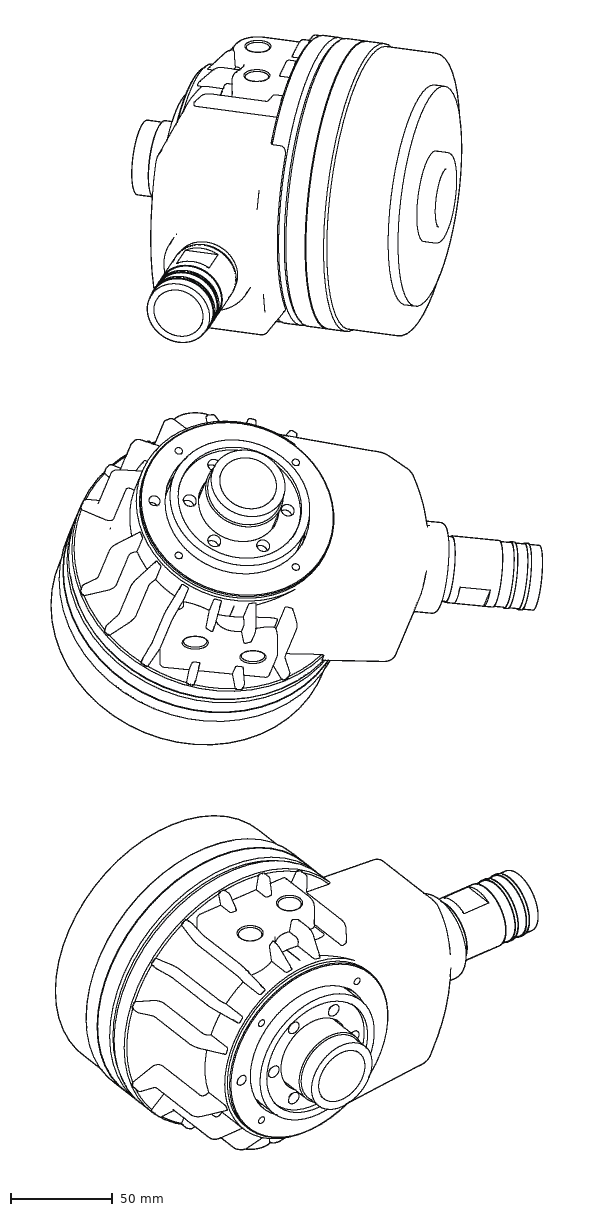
import cadquery as cq
import math


shaft_step_x = 9.0
hub_front_x = 20.2
pad_face_x = 26.6
body_front_x = 29.0
body_step_x = 45.2
flange_front_x = 82.2
flange_back_x = 91.3
ring_front_x = 93.9
drum_front_x = 105.0
drum_step_x = 115.7
drum_back_x = 142.5
collar_front_x = 147.5
shaft_end_x = 155.0

flange_diameter = 143.0
flange_radius = flange_diameter / 2
drum_radius = 70.2
end_disc_radius = 54.6
spigot_radius = 54.2
body_radius = 54.2
body_front_radius = 50.3
pad_face_radius = 48.7
hub_radius = 35.0
hub_clearance = 1.1
hub_bore_clearance = 0.7
hub_pocket_radius = 31.0
shaft_radius = 19.5
shaft_nose_radius = 18.5
shaft_bore_radius = 14.2
collar_radius = 22.5

body_step_fillet = 2.3
flange_root_fillet = 4.0
flange_front_chamfer = 1.0
ring_front_chamfer = 1.1
joint_chamfer = 0.2
drum_end_fillet = 1.8
collar_fillet = 1.4
pad_face_chamfer = 0.5
nose_chamfer = 0.5

hub_back_x = 36.7
hub_pocket_depth = 2.8
hub_hole_count = 6
hub_hole_circle = 24.5
hub_hole_radius = 3.2
hub_hole_depth = 5.7
face_hole_circle = 41.5
face_hole_radius = 1.8
face_hole_angles = [45, 135, 225, 315]
pin_hole_radius = 2.8
pin_hole_angle = 0
face_hole_depth = 6.9
drill_point_angle = 118

neck_end_radius = 99.8
neck_face_radius = 84.7
neck_bevel_end_x = 43.1
neck_back_x = 90.7
neck_taper = 5
neck_front_fillet = 7.0
neck_bevel_fillet = 8.7
neck_end_fillet = 6.7
neck_back_fillet = 3.2

fitting_x = 65.9
boss_radius = 22.5
boss_end = 110.2
boss_fillet = 2.5
boss_root_fillet = 1.8
boss_root_depth = 3.5
overall_length = 229.5
fitting_end = overall_length - flange_radius
fitting_radius = 16.5
fitting_neck_radius = 16.0
fitting_neck_end = 114.0
fitting_bore_radius = 12.6
flat_start = 118.2
flat_end = 133.3
flat_height = 14.2
barb_start = 138.0
barb_root_radius = 16.0
barb_starts = [143.7, 150.5]
barb_width = 1.8

mount_top = 61.7
mount_half_width = 27.5
mount_lobe_radius = 12.2
mount_lobe_y = mount_half_width - mount_lobe_radius
mount_lobes = [(54.6, mount_lobe_y), (63.3, -mount_lobe_y)]
mount_waist_radius = 13.8
mount_edge_fillet = 2.3
mount_mouth_radius = 6.5
mount_hole_radius = 5.7
mount_hole_depth = 11.5

rib_angles = [20, 40, 60, 80, 100, 120]
rib_mid_radius = 64.0
low_rib_angles = [80, 100]
low_rib_mid_radius = 61.0
rib_end_radius = 71.1
rib_front_x = 31.2
rib_shoulder_x = 40.9
rib_rise_x = 73.2
rib_rise_end_x = 77.5
rib_root_radius = 46.0
rib_thickness = 4.0
rib_shoulder_fillet = 6.9
rib_rise_fillet = 1.8
rib_edge_radius = 1.0


def turned(profile):
    """Revolve an (x, radius) profile about the X axis."""
    return cq.Workplane("XY").polyline(profile).close().revolve(360, (0, 0, 0), (1, 0, 0))


def x_cylinder(radius, start_x, end_x, y=0.0, z=0.0):
    """Cylinder parallel to X between two stations."""
    return cq.Workplane("YZ", origin=(start_x, y, z)).circle(radius).extrude(end_x - start_x)


def drilled_hole(radius, depth, origin, direction):
    """Blind hole with a conical drill point, as a solid to subtract."""
    point_depth = radius / math.tan(math.radians(drill_point_angle / 2))
    bore = cq.Solid.makeCylinder(radius, depth, origin, direction)
    tip = cq.Solid.makeCone(radius, 0, point_depth, origin + direction * depth, direction)
    return cq.Workplane("XY").newObject([bore.fuse(tip)])


def body():
    """Round core of the housing with the machined front face and the rear flange."""
    diagonal = math.sqrt(0.5)
    step_centre = (body_step_x + body_step_fillet, body_radius - body_step_fillet)
    root_centre = (flange_front_x - flange_root_fillet, body_radius + flange_root_fillet)
    return (
        cq.Workplane("XY").moveTo(pad_face_x, 0)
        .lineTo(pad_face_x, pad_face_radius - pad_face_chamfer)
        .lineTo(pad_face_x + pad_face_chamfer, pad_face_radius)
        .lineTo(body_front_x, pad_face_radius)
        .lineTo(body_front_x, body_front_radius)
        .lineTo(body_step_x, body_front_radius)
        .lineTo(body_step_x, step_centre[1])
        .threePointArc(
            (step_centre[0] - body_step_fillet * diagonal, step_centre[1] + body_step_fillet * diagonal),
            (step_centre[0], body_radius),
        )
        .lineTo(root_centre[0], body_radius)
        .threePointArc(
            (root_centre[0] + flange_root_fillet * diagonal, root_centre[1] - flange_root_fillet * diagonal),
            (flange_front_x, root_centre[1]),
        )
        .lineTo(flange_front_x, flange_radius - flange_front_chamfer)
        .lineTo(flange_front_x + flange_front_chamfer, flange_radius)
        .lineTo(flange_back_x, flange_radius)
        .lineTo(flange_back_x, 0)
        .close().revolve(360, (0, 0, 0), (1, 0, 0))
    )


def neck():
    """Tapered arm towards -Y with a round end and a bevelled front edge."""
    disc = turned([
        (body_front_x, 0),
        (body_front_x, neck_face_radius),
        (neck_bevel_end_x, neck_end_radius),
        (neck_back_x, neck_end_radius),
        (neck_back_x, 0),
    ])
    taper = math.radians(neck_taper)
    near_height = body_front_radius / math.cos(taper)
    far_height = near_height - neck_end_radius * math.tan(taper)
    wedge = cq.Workplane("YZ").polyline([
        (0, near_height),
        (-neck_end_radius, far_height),
        (-neck_end_radius, -far_height),
        (0, -near_height),
    ]).close().extrude(flange_back_x)
    arm = disc.intersect(wedge)

    front_sides = cq.selectors.BoxSelector(
        (0, -neck_end_radius, far_height), (neck_bevel_end_x, -2.3, near_height)
    ) + cq.selectors.BoxSelector(
        (0, -neck_end_radius, -near_height), (neck_bevel_end_x, -2.3, -far_height)
    )
    end_sides = cq.selectors.BoxSelector(
        (neck_bevel_end_x + 2.3, -neck_end_radius, -near_height),
        (neck_back_x - 2.3, -neck_face_radius, near_height),
    )
    arm = arm.faces("<X").edges("%CIRCLE").fillet(neck_bevel_fillet)
    arm = arm.edges(front_sides).fillet(neck_front_fillet)
    arm = arm.edges(end_sides).edges("|X").fillet(neck_end_fillet)
    return arm.faces(">X").edges("not(>Y)").fillet(neck_back_fillet)


def boss():
    """Round boss on the end of the neck that carries the fitting."""
    boss_length = boss_end - neck_face_radius
    base = cq.Workplane("XZ", origin=(fitting_x, -neck_face_radius, 0))
    cylinder = base.circle(boss_radius).extrude(boss_length)
    return cylinder.faces("<Y").edges().fillet(boss_fillet)


def neck_with_boss():
    """Neck and boss joined, with a fillet around the root of the boss."""
    root = cq.selectors.BoxSelector(
        (fitting_x - boss_radius / 2, -neck_end_radius, -boss_radius),
        (fitting_x + boss_radius / 2, -neck_end_radius + boss_root_depth, boss_radius),
    )
    return neck().union(boss()).edges(root).fillet(boss_root_fillet)


def rib(angle):
    """Radial rib at an angle from +Y towards +Z, reaching up to the flange."""
    mid_radius = low_rib_mid_radius if angle in low_rib_angles else rib_mid_radius
    plate = cq.Workplane("XY", origin=(0, 0, -rib_thickness / 2)).polyline([
        (rib_front_x, rib_root_radius),
        (rib_front_x, body_front_radius),
        (rib_shoulder_x, mid_radius),
        (rib_rise_x, mid_radius),
        (rib_rise_end_x, rib_end_radius),
        (flange_front_x, rib_end_radius),
        (flange_front_x, rib_root_radius),
    ]).close().extrude(rib_thickness)
    shoulder = cq.selectors.BoxSelector(
        (rib_front_x + 2.3, body_radius, -rib_thickness), (rib_rise_x - 2.3, flange_radius, rib_thickness)
    )
    rise = cq.selectors.BoxSelector(
        (rib_rise_x - 2.3, body_radius, -rib_thickness), (flange_front_x - 2.3, flange_radius, rib_thickness)
    )
    plate = plate.edges("|Z").edges(rise).fillet(rib_rise_fillet)
    plate = plate.edges("|Z").edges(shoulder).fillet(rib_shoulder_fillet)
    plate = plate.faces("<Z or >Z").edges("not(<Y or <X or >X)").fillet(rib_edge_radius)
    return plate.rotate((0, 0, 0), (1, 0, 0), angle)


def mount_pad():
    """Flat pad with two lobes around its screw holes and a concave waist between them, on the +Z side."""
    upper, lower = (cq.Vector(x, y) for x, y in mount_lobes)
    half_gap = (lower - upper).Length / 2
    middle = (upper + lower) * 0.5
    outward = cq.Vector(lower.y - upper.y, upper.x - lower.x).normalized()
    to_waist = math.sqrt((mount_lobe_radius + mount_waist_radius) ** 2 - half_gap ** 2)
    waist = middle + outward * to_waist
    waist_point = waist - outward * mount_waist_radius
    upper_touch = upper + (waist - upper).normalized() * mount_lobe_radius
    lower_touch = lower + (waist - lower).normalized() * mount_lobe_radius
    lobe_front = cq.Vector(-mount_lobe_radius, 0)
    outline = (
        cq.Workplane("XY").moveTo(flange_front_x, mount_half_width)
        .lineTo(upper.x, mount_half_width)
        .threePointArc((upper + lobe_front).toTuple()[:2], upper_touch.toTuple()[:2])
        .threePointArc(waist_point.toTuple()[:2], lower_touch.toTuple()[:2])
        .threePointArc((lower + lobe_front).toTuple()[:2], (lower.x, -mount_half_width))
        .lineTo(flange_front_x, -mount_half_width)
        .close()
    )
    return outline.extrude(mount_top).faces(">Z").edges("not(>X)").fillet(mount_edge_fillet)


def mount_holes():
    """Chamfered blind holes of the upper mounting pad, as a solid to subtract."""
    down = cq.Vector(0, 0, -1)
    sink_depth = mount_mouth_radius - mount_hole_radius
    holes = cq.Workplane("XY")
    for x, y in mount_lobes:
        mouth = cq.Vector(x, y, mount_top)
        holes = holes.add(drilled_hole(mount_hole_radius, mount_hole_depth, mouth, down))
        holes = holes.add(cq.Solid.makeCone(mount_mouth_radius, mount_hole_radius, sink_depth, mouth, down))
    return holes.combine()


def face_holes():
    """Four small holes and one pin hole in the machined front face."""
    inward = cq.Vector(1, 0, 0)
    holes = cq.Workplane("XY")
    sizes = [(angle, face_hole_radius) for angle in face_hole_angles]
    sizes.append((pin_hole_angle, pin_hole_radius))
    for angle, radius in sizes:
        y = face_hole_circle * math.cos(math.radians(angle))
        z = face_hole_circle * math.sin(math.radians(angle))
        holes = holes.add(drilled_hole(radius, face_hole_depth, cq.Vector(pad_face_x, y, z), inward))
    return holes.combine()


def make_housing():
    """Cast housing: round body, neck, boss, ribs and mounting pads, with its holes and bores."""
    ribs_and_pad = mount_pad()
    for angle in rib_angles:
        ribs_and_pad = ribs_and_pad.union(rib(angle))
    housing = body().union(neck_with_boss())
    housing = housing.union(ribs_and_pad).union(ribs_and_pad.mirror("XY"))
    housing = housing.cut(mount_holes()).cut(mount_holes().mirror("XY")).cut(face_holes())
    housing = housing.cut(x_cylinder(hub_radius + hub_clearance, pad_face_x, hub_back_x))
    return housing.cut(x_cylinder(shaft_radius, pad_face_x, flange_back_x))


def make_hub():
    """Front hub with a shallow pocket and a circle of blind holes."""
    hub = x_cylinder(hub_radius, hub_front_x, hub_back_x)
    pocket_floor_x = hub_front_x + hub_pocket_depth
    hub = hub.cut(x_cylinder(hub_pocket_radius, hub_front_x, pocket_floor_x))
    hub = hub.cut(x_cylinder(shaft_radius + hub_bore_clearance, hub_front_x, hub_back_x))
    for i in range(hub_hole_count):
        angle = 2 * math.pi * i / hub_hole_count
        y = hub_hole_circle * math.cos(angle)
        z = hub_hole_circle * math.sin(angle)
        hub = hub.cut(x_cylinder(hub_hole_radius, pocket_floor_x, pocket_floor_x + hub_hole_depth, y, z))
    return hub


def make_shaft():
    """Hollow shaft through the whole unit, with a thinner nose and a rear collar."""
    return turned([
        (0, shaft_bore_radius),
        (0, shaft_nose_radius),
        (shaft_step_x - nose_chamfer, shaft_nose_radius),
        (shaft_step_x, shaft_radius),
        (collar_front_x, shaft_radius),
        (collar_front_x, collar_radius),
        (shaft_end_x, collar_radius),
        (shaft_end_x, shaft_bore_radius),
    ]).faces(">X").edges(">Z").fillet(collar_fillet)


def make_ring():
    """Ring between housing and drum, with a spigot against the housing flange."""
    return turned([
        (flange_back_x, shaft_radius),
        (flange_back_x, spigot_radius),
        (ring_front_x, spigot_radius),
        (ring_front_x, flange_radius - ring_front_chamfer),
        (ring_front_x + ring_front_chamfer, flange_radius),
        (drum_front_x - joint_chamfer, flange_radius),
        (drum_front_x, flange_radius - joint_chamfer),
        (drum_front_x, shaft_radius),
    ])


def make_drum():
    """Rear drum with a stepped rim and a smaller end disc."""
    step_chamfer = flange_radius - drum_radius
    drum = turned([
        (drum_front_x, shaft_radius),
        (drum_front_x, flange_radius - joint_chamfer),
        (drum_front_x + joint_chamfer, flange_radius),
        (drum_step_x - step_chamfer, flange_radius),
        (drum_step_x, drum_radius),
        (drum_back_x, drum_radius),
        (drum_back_x, shaft_radius),
    ]).faces(">X").edges(cq.selectors.RadiusNthSelector(1)).fillet(drum_end_fillet)
    end_disc = x_cylinder(end_disc_radius, drum_back_x, collar_front_x)
    return drum.union(end_disc.cut(x_cylinder(shaft_radius, drum_back_x, collar_front_x)))


def make_fitting():
    """Hollow hose fitting along -Y with two wrench flats and two barbs."""
    profile = [
        (boss_end, fitting_bore_radius),
        (boss_end, fitting_neck_radius),
        (fitting_neck_end, fitting_neck_radius),
        (fitting_neck_end, fitting_radius),
        (barb_start, fitting_radius),
        (barb_start, barb_root_radius),
    ]
    for start in barb_starts:
        profile += [
            (start, barb_root_radius),
            (start, fitting_radius),
            (start + barb_width, fitting_radius),
            (start + barb_width, barb_root_radius),
        ]
    profile += [(fitting_end, barb_root_radius), (fitting_end, fitting_bore_radius)]
    points = [(fitting_x + radius, -distance) for distance, radius in profile]
    axis_point = (fitting_x, 0, 0)
    fitting = cq.Workplane("XY").polyline(points).close().revolve(360, axis_point, (fitting_x, 1, 0))
    flat_length = flat_end - flat_start
    flat_middle = (fitting_x, -(flat_start + flat_end) / 2, 0)
    band = cq.Workplane("XY", origin=flat_middle).box(2 * fitting_radius, flat_length, 2 * fitting_radius)
    kept = cq.Workplane("XY", origin=flat_middle).box(2 * fitting_radius, flat_length, 2 * flat_height)
    return fitting.cut(band.cut(kept))


housing = make_housing()
hub = make_hub()
shaft = make_shaft()
ring = make_ring()
drum = make_drum()
fitting = make_fitting()
result = cq.Compound.makeCompound(
    [housing.val(), hub.val(), shaft.val(), ring.val(), drum.val(), fitting.val()]
)